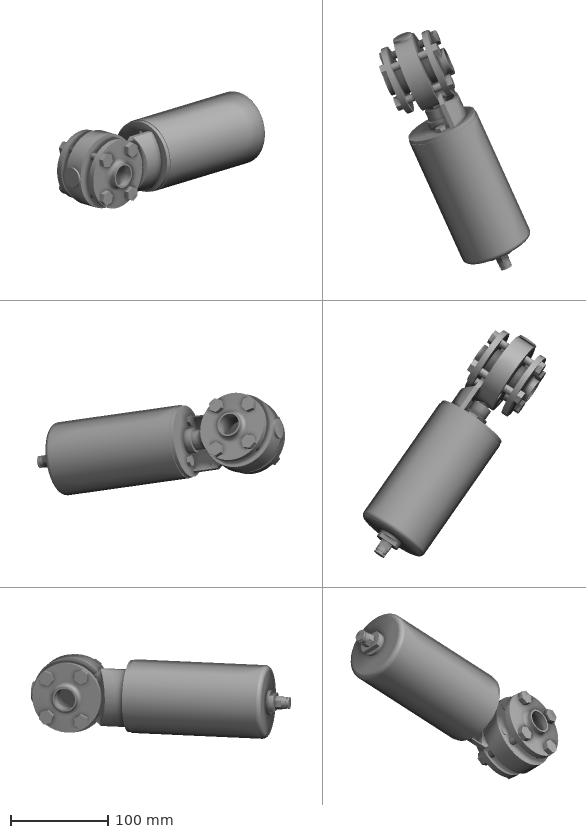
import cadquery as cq
import math


HALF_HEXAGON_STEP = 30

VALVE_RADIUS = 39.0
VALVE_HALF_WIDTH = 10.3
HUB_RADIUS = 16.8
FLANGE_RADIUS = 36.0
FLANGE_INNER_X = 19.8
FLANGE_OUTER_X = 26.0
NECK_FILLET = 4.0
PIPE_RADIUS = 12.7
PIPE_END_X = 34.1
BORE_RADIUS = 11.0

BOLT_CIRCLE_RADIUS = 28.7
BOLT_ANGLES = (45, 125, -45, -125)
BOLT_SHANK_RADIUS = 4.0
BOLT_HEAD_FLATS = 13.3
BOLT_HEAD_HEIGHT = 5.7

STEM_HALF_DIAGONAL = 6.2
PLATE_HALF_THICKNESS = 6.5
CAP_RADIUS = 10.3
CAP_THICKNESS = 2.2
STEM_END_Y = 41.7

ACTUATOR_RADIUS = 38.0
ACTUATOR_BOTTOM_Y = 61.2
ACTUATOR_TOP_Y = 207.3
ACTUATOR_FILLET = 5.0
LIP_RADIUS = 37.0
LIP_HEIGHT = 4.0
COLLAR_RADIUS = 13.0
COLLAR_HEIGHT = 8.0
SPIGOT_RADIUS = 10.3
COVER_BOLT_OFFSET = 21.7
COVER_BOLT_FLATS = 10.3
COVER_BOLT_HEIGHT = 3.8

FITTING_BASE_RADIUS = 12.7
FITTING_BASE_END_Y = 215.2
FITTING_FLATS = 17.0
FITTING_FLATS_START_Y = 210.5
FITTING_HEX_FLATS = 12.2
FITTING_HEX_END_Y = 222.0
FITTING_TUBE_RADIUS = 6.2
FITTING_TUBE_END_Y = 226.8
FITTING_GROOVE_RADIUS = 5.0
FITTING_GROOVE_END_Y = 228.5
FITTING_END_Y = 229.8

BRACKET_THICKNESS = 5.0
BRACKET_HALF_HEIGHT = 29.8
BRACKET_END_Y = 22.8
BRACKET_CHAMFER = 10.8
WINDOW_END_Y = 39.3
SHELL_REACH_X = 28.2
SHELL_THICKNESS = 4.3
SHELL_END_ANGLE = 30
BRACKET_BOLT_RADIUS = 4.3
BRACKET_BOLT_Y = 27.0
BRACKET_BOLT_Z = 16.3
BRACKET_BOLT_START_X = -11.0
BRACKET_BOLT_END_X = 19.0


def cylinder_x(radius, start, end, y=0, z=0):
    return cq.Workplane("YZ", origin=(start, y, z)).circle(radius).extrude(end - start)


def cylinder_y(radius, start, end, x=0):
    return cq.Workplane("XZ", origin=(x, start, 0)).circle(radius).extrude(start - end)


def corner_diameter(flats):
    """Diameter across the corners of a hexagon with the given width across its flats."""
    return flats / math.cos(math.radians(HALF_HEXAGON_STEP))


def hexagon_y(flats, start, end, z=0):
    """Hexagonal prism along Y with two corners pointing along Z."""
    plane = cq.Plane(origin=(0, start, z), xDir=(0, 0, 1), normal=(0, 1, 0))
    return cq.Workplane(plane).polygon(6, corner_diameter(flats)).extrude(end - start)


def make_stem():
    """Square stem with the plate that closes the pipe, capped where it leaves the valve rim."""
    rim_y = -VALVE_RADIUS
    stem = (
        cq.Workplane("XZ", origin=(0, rim_y, 0))
        .polygon(4, 2 * STEM_HALF_DIAGONAL)
        .extrude(rim_y - STEM_END_Y)
    )
    plate = cylinder_x(BORE_RADIUS, -PLATE_HALF_THICKNESS, PLATE_HALF_THICKNESS)
    cap = cylinder_y(CAP_RADIUS, rim_y - CAP_THICKNESS, rim_y)
    return stem.union(plate).union(cap)


def make_bracket():
    """Windowed plate with a curved shell behind the window, open towards the actuator neck, and its bolts."""
    front_x = VALVE_HALF_WIDTH
    back_x = front_x + BRACKET_THICKNESS
    length = ACTUATOR_BOTTOM_Y - BRACKET_END_Y
    plate = (
        cq.Workplane("XY")
        .box(BRACKET_THICKNESS, length, 2 * BRACKET_HALF_HEIGHT, centered=(False, False, True))
        .translate((front_x, BRACKET_END_Y, 0))
        .faces("<Y")
        .edges("|X")
        .chamfer(BRACKET_CHAMFER)
    )

    sagitta = SHELL_REACH_X - back_x
    outer_radius = (BRACKET_HALF_HEIGHT**2 + sagitta**2) / (2 * sagitta)
    inner_radius = outer_radius - SHELL_THICKNESS
    centre_x = SHELL_REACH_X - outer_radius
    shell_end_y = BRACKET_END_Y + BRACKET_CHAMFER
    behind_plate = (
        cq.Workplane("XZ", origin=(0, shell_end_y, 0))
        .moveTo(back_x, -BRACKET_HALF_HEIGHT)
        .threePointArc((SHELL_REACH_X, 0), (back_x, BRACKET_HALF_HEIGHT))
        .close()
        .extrude(shell_end_y - ACTUATOR_BOTTOM_Y)
    )
    shell = behind_plate.cut(cylinder_y(inner_radius, shell_end_y, ACTUATOR_BOTTOM_Y, centre_x))
    window = cylinder_y(inner_radius, WINDOW_END_Y, ACTUATOR_BOTTOM_Y, centre_x)
    slant_rise = sagitta * math.tan(math.radians(SHELL_END_ANGLE))
    slant = (
        cq.Workplane("XY")
        .polyline([
            (back_x, shell_end_y),
            (SHELL_REACH_X, shell_end_y),
            (SHELL_REACH_X, shell_end_y + slant_rise),
        ])
        .close()
        .extrude(BRACKET_HALF_HEIGHT, both=True)
    )
    bracket = plate.cut(window).union(shell.cut(slant))

    for z in (-BRACKET_BOLT_Z, BRACKET_BOLT_Z):
        bracket = bracket.union(
            cylinder_x(BRACKET_BOLT_RADIUS, BRACKET_BOLT_START_X, BRACKET_BOLT_END_X, BRACKET_BOLT_Y, z)
        )
    return bracket


def make_flange_bolt(angle):
    """Bolt shank from the valve face to the flange, with a hexagon head whose flat faces outwards."""
    shank = cylinder_x(BOLT_SHANK_RADIUS, VALVE_HALF_WIDTH, FLANGE_INNER_X, -BOLT_CIRCLE_RADIUS)
    head = (
        cq.Workplane("YZ", origin=(FLANGE_OUTER_X, -BOLT_CIRCLE_RADIUS, 0))
        .transformed(rotate=(0, 0, HALF_HEXAGON_STEP))
        .polygon(6, corner_diameter(BOLT_HEAD_FLATS))
        .extrude(BOLT_HEAD_HEIGHT)
    )
    return shank.union(head).rotate((0, 0, 0), (1, 0, 0), -angle)


def make_valve_half():
    """Half of the valve on the +X side, with its flange, pipe end and flange bolts."""
    neck_radius = PIPE_RADIUS + NECK_FILLET
    arc_inset = NECK_FILLET * (1 - math.sqrt(0.5))
    half = (
        cq.Workplane("XZ")
        .moveTo(0, BORE_RADIUS)
        .lineTo(0, VALVE_RADIUS)
        .lineTo(VALVE_HALF_WIDTH, VALVE_RADIUS)
        .lineTo(VALVE_HALF_WIDTH, HUB_RADIUS)
        .lineTo(FLANGE_INNER_X, HUB_RADIUS)
        .lineTo(FLANGE_INNER_X, FLANGE_RADIUS)
        .lineTo(FLANGE_OUTER_X, FLANGE_RADIUS)
        .lineTo(FLANGE_OUTER_X, neck_radius)
        .threePointArc(
            (FLANGE_OUTER_X + arc_inset, PIPE_RADIUS + arc_inset),
            (FLANGE_OUTER_X + NECK_FILLET, PIPE_RADIUS),
        )
        .lineTo(PIPE_END_X, PIPE_RADIUS)
        .lineTo(PIPE_END_X, BORE_RADIUS)
        .close()
        .revolve(360, (0, 0, 0), (1, 0, 0))
    )
    for angle in BOLT_ANGLES:
        half = half.union(make_flange_bolt(angle))
    return half


def make_fitting():
    """Air fitting: round base with two flats, hexagon, then a grooved tube end."""
    base = cylinder_y(FITTING_BASE_RADIUS, ACTUATOR_TOP_Y, FITTING_BASE_END_Y)
    flats_length = FITTING_BASE_END_Y - FITTING_FLATS_START_Y
    flats_envelope = (
        cq.Workplane("XY")
        .box(2 * FITTING_BASE_RADIUS, flats_length, FITTING_FLATS, centered=(True, False, True))
        .translate((0, FITTING_FLATS_START_Y, 0))
    )
    flatted_end = cylinder_y(FITTING_BASE_RADIUS, FITTING_FLATS_START_Y, FITTING_BASE_END_Y)
    base = base.cut(flatted_end.cut(flats_envelope))
    return (
        base.union(hexagon_y(FITTING_HEX_FLATS, FITTING_BASE_END_Y, FITTING_HEX_END_Y))
        .union(cylinder_y(FITTING_TUBE_RADIUS, FITTING_HEX_END_Y, FITTING_TUBE_END_Y))
        .union(cylinder_y(FITTING_GROOVE_RADIUS, FITTING_TUBE_END_Y, FITTING_GROOVE_END_Y))
        .union(cylinder_y(FITTING_TUBE_RADIUS, FITTING_GROOVE_END_Y, FITTING_END_Y))
    )


def make_actuator():
    """Cylindrical actuator with a stepped neck, cover bolts and the air fitting."""
    lip_top_y = ACTUATOR_BOTTOM_Y + LIP_HEIGHT
    collar_end_y = ACTUATOR_BOTTOM_Y - COLLAR_HEIGHT
    actuator = (
        cq.Workplane("YZ")
        .polyline([
            (STEM_END_Y, 0),
            (STEM_END_Y, SPIGOT_RADIUS),
            (collar_end_y, SPIGOT_RADIUS),
            (collar_end_y, COLLAR_RADIUS),
            (ACTUATOR_BOTTOM_Y, COLLAR_RADIUS),
            (ACTUATOR_BOTTOM_Y, LIP_RADIUS),
            (lip_top_y, LIP_RADIUS),
            (lip_top_y, ACTUATOR_RADIUS),
            (ACTUATOR_TOP_Y, ACTUATOR_RADIUS),
            (ACTUATOR_TOP_Y, 0),
        ])
        .close()
        .revolve(360, (0, 0, 0), (1, 0, 0))
        .faces(">Y")
        .edges()
        .fillet(ACTUATOR_FILLET)
    )
    bolt_end_y = ACTUATOR_BOTTOM_Y - COVER_BOLT_HEIGHT
    for z in (-COVER_BOLT_OFFSET, COVER_BOLT_OFFSET):
        actuator = actuator.union(hexagon_y(COVER_BOLT_FLATS, bolt_end_y, ACTUATOR_BOTTOM_Y, z))
    return actuator.union(make_fitting())


stem = make_stem()
bracket = make_bracket()
actuator = make_actuator()

right_half = make_valve_half()
valve_halves = []
for half in (right_half, right_half.mirror("YZ")):
    valve_halves.append(half.cut(stem).cut(bracket).val())

result = cq.Compound.makeCompound([*valve_halves, stem.val(), bracket.val(), actuator.val()])